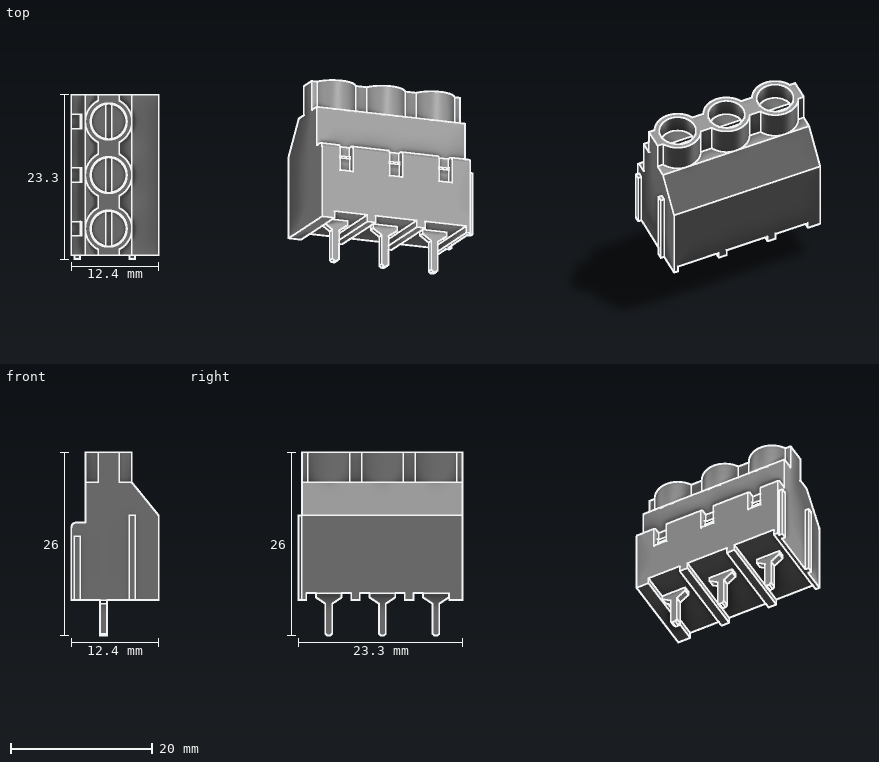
import cadquery as cq

pole_count = 3
pole_pitch = 7.6
pole_y = [(index + 0.5) * pole_pitch for index in range(pole_count)]

housing_length = pole_count * pole_pitch
housing_depth = 12.4
housing_bottom = 5.05
housing_top = 26.0
shoulder_top = 21.7
slope_bottom = 17.03
step_top = 16.05
step_edge_radius = 0.73

screw_x = 5.3
collar_diameter = 6.6
web_width = 2.96
collar_front = screw_x - collar_diameter / 2
collar_back = screw_x + collar_diameter / 2

well_diameter = 5.2
screw_diameter = 5.0
screw_top = 23.35
screw_height = 1.55
drive_slot_width = 0.83
drive_slot_depth = 0.78
well_floor = screw_top - screw_height

window_width = 2.0
window_depth = 1.45
window_bottom = 12.2
clamp_top = 14.7
clamp_front = 1.25
clamp_edge_diameter = 2.52
clamp_width = screw_diameter
clamp_length = 2 * (screw_x - clamp_front)

channel_half_width = 3.17
channel_ceiling = 6.03
end_foot_width = 1.92

pin_x = 4.58
pin_thickness = 1.01
pin_shoulder_width = 3.67
pin_taper_top = 5.4
pin_taper_bottom = 4.52
pin_tip_chamfer = 0.29

rib_width = 0.8
rib_projection = 0.52
front_rib_x = 0.85
front_rib_top = 14.07
rear_rib_x = 8.63
rear_rib_top = slope_bottom


def block(x_range, y_range, z_range):
    """Box spanning the given (low, high) ranges."""
    size = [high - low for low, high in (x_range, y_range, z_range)]
    return cq.Workplane("XY").box(*size, centered=False).translate((x_range[0], y_range[0], z_range[0]))


def centered_range(center, width):
    return (center - width / 2, center + width / 2)


def cylinder(y, diameter, bottom, top):
    """Upright cylinder on the screw axis of the pole at y."""
    return cq.Workplane("XY", origin=(screw_x, y, bottom)).circle(diameter / 2).extrude(top - bottom)


def clamp_block(y):
    """Square block that bounds a clamp and shapes its pocket."""
    return block(
        (clamp_front, clamp_front + clamp_length),
        centered_range(y, clamp_width),
        (window_bottom, clamp_top),
    )


def make_housing_body():
    """Stepped and sloped profile with a rounded front edge."""
    profile = (
        cq.Workplane("XZ")
        .moveTo(0, housing_bottom)
        .lineTo(0, step_top - step_edge_radius)
        .radiusArc((step_edge_radius, step_top), step_edge_radius)
        .lineTo(collar_front, step_top)
        .lineTo(collar_front, shoulder_top)
        .lineTo(collar_back, shoulder_top)
        .lineTo(housing_depth, slope_bottom)
        .lineTo(housing_depth, housing_bottom)
        .close()
    )
    return profile.extrude(-housing_length)


def add_collars(housing):
    web = block(centered_range(screw_x, web_width), (0, housing_length), (shoulder_top, housing_top))
    housing = housing.union(web)
    for y in pole_y:
        housing = housing.union(cylinder(y, collar_diameter, shoulder_top, housing_top))
    return housing


def add_ribs(housing):
    for rib_x, rib_top in ((front_rib_x, front_rib_top), (rear_rib_x, rear_rib_top)):
        rib = block(centered_range(rib_x, rib_width), (-rib_projection, 0), (housing_bottom, rib_top))
        housing = housing.union(rib)
    return housing


def cut_wells(housing):
    for y in pole_y:
        housing = housing.cut(cylinder(y, well_diameter, well_floor, housing_top))
    return housing


def cut_windows(housing):
    for y in pole_y:
        window = block((0, window_depth), centered_range(y, window_width), (window_bottom, step_top))
        housing = housing.cut(window).cut(clamp_block(y))
    return housing


def cut_channels(housing):
    """Open a channel below each pole, stopping at the wider foot on the +Y end."""
    for y in pole_y:
        channel_end = min(y + channel_half_width, housing_length - end_foot_width)
        channel = block(
            (0, housing_depth),
            (y - channel_half_width, channel_end),
            (housing_bottom, channel_ceiling),
        )
        housing = housing.cut(channel)
    return housing


def make_housing():
    housing = make_housing_body()
    housing = add_collars(housing)
    housing = add_ribs(housing)
    housing = cut_wells(housing)
    housing = cut_windows(housing)
    return cut_channels(housing)


def make_screw(y):
    """Slotted screw standing on the floor of its well."""
    drive_slot = block(
        centered_range(screw_x, drive_slot_width),
        centered_range(y, screw_diameter),
        (screw_top - drive_slot_depth, screw_top),
    )
    return cylinder(y, screw_diameter, well_floor, screw_top).cut(drive_slot)


def make_clamp(y):
    """Clamp with a rounded upper front edge, seated in the pocket behind the window."""
    return clamp_block(y).edges("|Y and <X and >Z").fillet(clamp_edge_diameter / 2)


def make_pin(y):
    """Flat pin: wide shoulder, taper, narrow leg and chamfered tip."""
    half_shoulder = pin_shoulder_width / 2
    half_leg = pin_thickness / 2
    plus_y_side = [
        (half_shoulder, channel_ceiling),
        (half_shoulder, pin_taper_top),
        (half_leg, pin_taper_bottom),
        (half_leg, pin_tip_chamfer),
        (half_leg - pin_tip_chamfer, 0),
    ]
    minus_y_side = [(-across, z) for across, z in reversed(plus_y_side)]
    outline = cq.Workplane("YZ", origin=(pin_x, y, 0)).polyline(plus_y_side + minus_y_side).close()
    return outline.extrude(pin_thickness / 2, both=True)


housing = make_housing()
screws = [make_screw(y) for y in pole_y]
clamps = [make_clamp(y) for y in pole_y]
pins = [make_pin(y) for y in pole_y]

result = cq.Compound.makeCompound([housing.val()] + [body.val() for body in screws + clamps + pins])